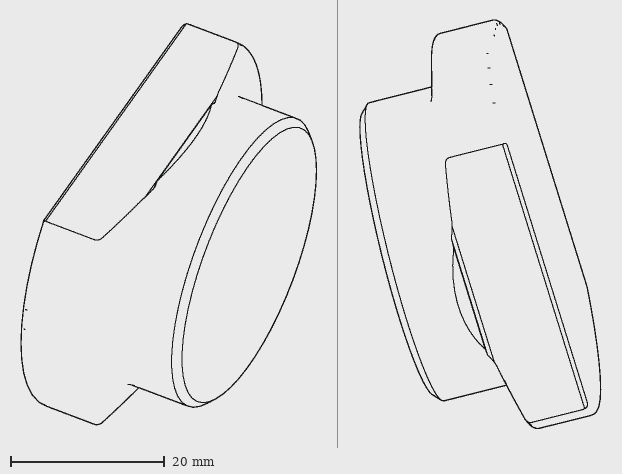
import cadquery as cq
import math

LENGTH = 20.0
BOSS_RADIUS = 20.0
BOSS_CHAMFER = 1.0

FLANGE_RADIUS = 26.5
FLANGE_DEPTH = 10.0
BACK_ANGLE = 15.0
BACK_RISE = (FLANGE_RADIUS - BOSS_RADIUS) * math.tan(math.radians(BACK_ANGLE))
FLANGE_RIM_WIDTH = FLANGE_DEPTH - BACK_RISE
EDGE_ROUND = 0.8

FLAT_HEIGHT = 17.5
FLAT_EDGE_CHAMFER = 0.5
STEP_FACE_X = 10.5
STEP_CHAMFER = 0.5
STEP_TOP_HEIGHT = 18.5

CUT_MARGIN = 5.0


def turned_body():
    """Flange with a conical back and a round boss, revolved about X."""
    profile = (
        cq.Workplane("XY")
        .polyline([
            (0, 0),
            (0, FLANGE_RADIUS),
            (FLANGE_RIM_WIDTH, FLANGE_RADIUS),
            (FLANGE_DEPTH, BOSS_RADIUS),
            (LENGTH - BOSS_CHAMFER, BOSS_RADIUS),
            (LENGTH, BOSS_RADIUS - BOSS_CHAMFER),
            (LENGTH, 0),
        ])
        .close()
    )
    body = profile.revolve(360, (0, 0, 0), (1, 0, 0))
    flange_edges = cq.selectors.BoxSelector(
        (-CUT_MARGIN, -CUT_MARGIN, -CUT_MARGIN),
        (STEP_FACE_X, CUT_MARGIN, CUT_MARGIN),
    )
    return body.edges("%CIRCLE").edges(flange_edges).fillet(EDGE_ROUND)


def flat_cutter():
    """Stock removed above the upper flat, including its front bevel and run-out."""
    top = BOSS_RADIUS + FLANGE_RADIUS
    runout_length = top - STEP_TOP_HEIGHT
    return (
        cq.Workplane("XZ")
        .polyline([
            (-CUT_MARGIN, FLAT_HEIGHT - FLAT_EDGE_CHAMFER - CUT_MARGIN),
            (FLAT_EDGE_CHAMFER, FLAT_HEIGHT),
            (STEP_FACE_X - STEP_CHAMFER, FLAT_HEIGHT),
            (STEP_FACE_X, FLAT_HEIGHT + STEP_CHAMFER),
            (STEP_FACE_X, STEP_TOP_HEIGHT),
            (STEP_FACE_X + runout_length, top),
            (-CUT_MARGIN, top),
        ])
        .close()
        .extrude(FLANGE_RADIUS + CUT_MARGIN, both=True)
    )


upper_cutter = flat_cutter()
lower_cutter = upper_cutter.mirror("XY")
result = turned_body().cut(upper_cutter).cut(lower_cutter)